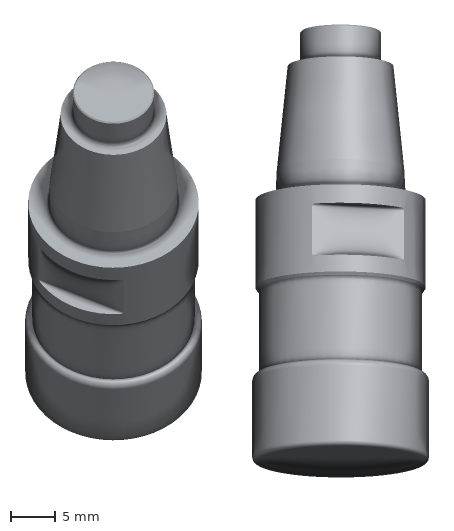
import cadquery as cq
import math

cap_height = 10.05
cap_radius = 10.0
cap_bottom_fillet = 0.5

neck_radius = 18.4 / 2
collar_radius = 19.3 / 2
collar_bottom = 19.7
collar_top = 30.1
collar_chamfer_width = 0.25
collar_chamfer_height = 0.35
neck_fillet_height = 0.4

flat_distance = 8.0
flat_bottom = 22.0
flat_top = 27.95
flat_fillet = 0.25

sleeve_base_radius = 7.4
sleeve_base_fillet = 0.3
sleeve_break_radius = 7.25
sleeve_break_height = 33.45
sleeve_top_radius = 6.0
sleeve_top = 45.55

tip_radius = 9.2 / 2
tip_base_fillet = 0.5
tip_chamfer = 0.15
total_height = 49.5

DIAGONAL = math.sqrt(0.5)


def make_cap():
    """Solid round cap; its rounded shoulder ends at the neck."""
    shoulder_width = cap_radius - neck_radius
    shoulder_start = cap_height - shoulder_width
    profile = (
        cq.Workplane("XZ")
        .lineTo(cap_radius - cap_bottom_fillet, 0)
        .threePointArc(
            (cap_radius - cap_bottom_fillet * (1 - DIAGONAL), cap_bottom_fillet * (1 - DIAGONAL)),
            (cap_radius, cap_bottom_fillet),
        )
        .lineTo(cap_radius, shoulder_start)
        .threePointArc(
            (neck_radius + shoulder_width * DIAGONAL, shoulder_start + shoulder_width * DIAGONAL),
            (neck_radius, cap_height),
        )
        .lineTo(0, cap_height)
        .close()
    )
    return profile.revolve(360, (0, 0), (0, 1))


def concave_fillet(profile, radius, floor, size):
    """Run along a flat floor, then up a quarter round onto a wall of the given radius."""
    return profile.lineTo(radius + size, floor).threePointArc(
        (radius + size * (1 - DIAGONAL), floor + size * (1 - DIAGONAL)),
        (radius, floor + size),
    )


def make_housing_blank():
    """Neck, collar, tapered sleeve and tip turned in one piece."""
    collar_foot_radius = collar_radius - collar_chamfer_width
    profile = (
        cq.Workplane("XZ")
        .moveTo(0, cap_height)
        .lineTo(neck_radius, cap_height)
        .lineTo(neck_radius, collar_bottom - neck_fillet_height)
        .tangentArcPoint((collar_foot_radius, collar_bottom), relative=False)
        .lineTo(collar_radius, collar_bottom + collar_chamfer_height)
        .lineTo(collar_radius, collar_top)
    )
    profile = concave_fillet(profile, sleeve_base_radius, collar_top, sleeve_base_fillet)
    profile = profile.lineTo(sleeve_break_radius, sleeve_break_height).lineTo(sleeve_top_radius, sleeve_top)
    profile = concave_fillet(profile, tip_radius, sleeve_top, tip_base_fillet)
    profile = (
        profile.lineTo(tip_radius, total_height - tip_chamfer)
        .lineTo(tip_radius - tip_chamfer, total_height)
        .lineTo(0, total_height)
        .close()
    )
    return profile.revolve(360, (0, 0), (0, 1))


def make_flat_cutter(side):
    """Block that cuts one wrench flat; side is -1 for -Y and +1 for +Y."""
    block = cq.Workplane("XY").box(
        2 * collar_radius,
        collar_radius,
        flat_top - flat_bottom,
        centered=(True, True, False),
    )
    inner_face = "<Y" if side > 0 else ">Y"
    block = block.faces(inner_face).edges("|X").fillet(flat_fillet)
    return block.translate((0, side * (flat_distance + collar_radius / 2), flat_bottom))


def make_housing():
    body = make_housing_blank()
    for side in (-1, 1):
        body = body.cut(make_flat_cutter(side))
    return body


cap = make_cap()
housing = make_housing()
result = cq.Compound.makeCompound([cap.val(), housing.val()])